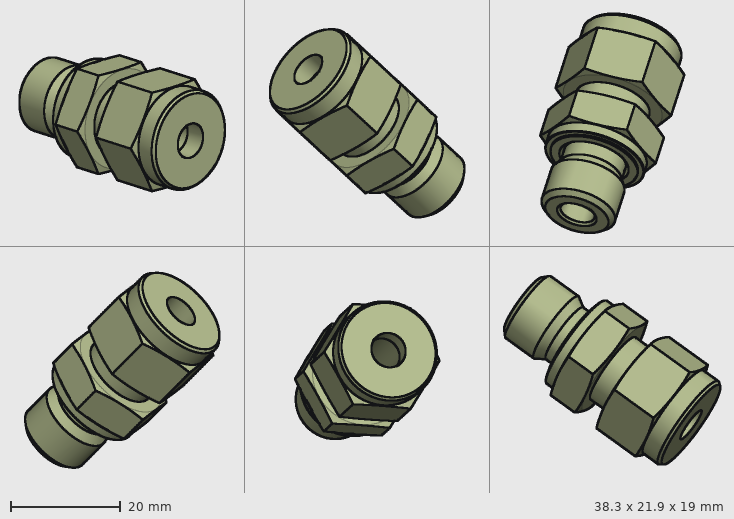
import cadquery as cq
import math


total_length = 38.3
flat_width = 19.0
bore_radius = 3.25
hex_sides = 6
hex_chamfer_angle = 15.0
hex_face_radius = 9.4

thread_end = 7.43
relief_start = 9.35
seal_rim_start = 11.7
collar_start = 12.03
body_hex_start = 13.98
body_hex_end = 20.4

thread_radius = 7.0
tip_chamfer = 1.0
relief_radius = 5.85
recess_radius = 6.6
recess_depth = 0.73
seal_rim_radius = 8.27
collar_radius = hex_face_radius
collar_chamfer = 0.1
neck_radius = thread_radius
bore_chamfer = 0.5

nut_start = 24.47
nut_hex_end = 34.28
nut_sleeve_radius = hex_face_radius
nut_chamfer_length = 0.6
nut_chamfer_radial = 0.45
neck_end = nut_hex_end


def revolve_profile(points):
    """Turn a closed outline of (x, radius) points around the X axis."""
    return cq.Workplane("XY").polyline(points).close().revolve(360, (0, 0, 0), (1, 0, 0))


def cylinder(x_start, x_end, radius):
    return cq.Workplane("YZ", origin=(x_start, 0, 0)).circle(radius).extrude(x_end - x_start)


def chamfered_hexagon(x_start, x_end):
    """Hexagonal prism with flats at top and bottom and its corners turned off at both ends."""
    corner_radius = flat_width / 2 / math.cos(math.pi / hex_sides)
    chamfer_depth = (corner_radius - hex_face_radius) * math.tan(math.radians(hex_chamfer_angle))
    prism = (
        cq.Workplane("YZ", origin=(x_start, 0, 0))
        .polygon(hex_sides, 2 * corner_radius)
        .extrude(x_end - x_start)
    )
    turned_envelope = revolve_profile([
        (x_start, 0),
        (x_start, hex_face_radius),
        (x_start + chamfer_depth, corner_radius),
        (x_end - chamfer_depth, corner_radius),
        (x_end, hex_face_radius),
        (x_end, 0),
    ])
    return prism.intersect(turned_envelope)


def make_fitting_body():
    turned_shape = revolve_profile([
        (0, 0),
        (0, thread_radius - tip_chamfer),
        (tip_chamfer, thread_radius),
        (thread_end, thread_radius),
        (relief_start, relief_radius),
        (seal_rim_start + recess_depth, relief_radius),
        (seal_rim_start, recess_radius),
        (seal_rim_start, seal_rim_radius),
        (collar_start, seal_rim_radius),
        (collar_start, collar_radius - collar_chamfer),
        (collar_start + collar_chamfer, collar_radius),
        (body_hex_start, collar_radius),
        (body_hex_start, neck_radius),
        (neck_end, neck_radius),
        (neck_end, 0),
    ])
    bore = revolve_profile([
        (0, 0),
        (0, bore_radius + bore_chamfer),
        (bore_chamfer, bore_radius),
        (neck_end, bore_radius),
        (neck_end, 0),
    ])
    return turned_shape.union(chamfered_hexagon(body_hex_start, body_hex_end)).cut(bore)


def make_nut():
    sleeve = revolve_profile([
        (nut_start, 0),
        (nut_start, nut_sleeve_radius),
        (total_length - nut_chamfer_length, nut_sleeve_radius),
        (total_length, nut_sleeve_radius - nut_chamfer_radial),
        (total_length, 0),
    ])
    neck_socket = cylinder(nut_start, neck_end, neck_radius)
    tube_hole = cylinder(neck_end, total_length, bore_radius)
    hexagon = chamfered_hexagon(nut_start, nut_hex_end)
    return sleeve.union(hexagon).cut(neck_socket).cut(tube_hole)


fitting_body = make_fitting_body()
nut = make_nut()

result = cq.Compound.makeCompound([fitting_body.solids().val(), nut.solids().val()])